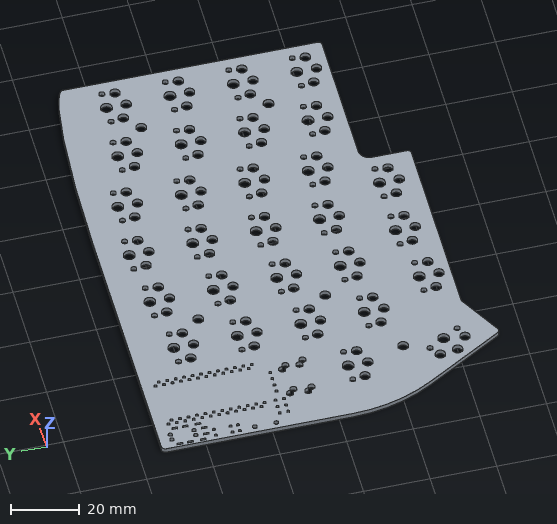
import cadquery as cq
import math


board_thickness = 1.6
board_width = 142.52
board_length = 106.33
corner_radius = 1.2
notch_radius = 3.2
outer_edge_bottom_y = -83.7
notch_x = 95.3
thumb_edge_bottom_y = -98.6
thumb_slope = math.radians(60)
tip_x = 20.75
side_arc_radius = 50.0
shoulder_width = 60.0
shoulder_drop = 6.0

tip_lean = thumb_slope - math.pi / 4
tip_rounding = corner_radius * (math.sqrt(2) * math.cos(tip_lean) - 1)
tip_y = -board_length - tip_rounding

switch_stem_hole = 3.4
switch_post_hole = 1.7
switch_pin_hole = 3.0
switch_posts = [(-5.5, 0.0), (5.5, 0.0)]
switch_pins = [(-5.0, -3.8), (5.0, -3.8), (0.0, -5.9)]

key_pitch = 19.05
keys_per_column = 4
first_column_x = 37.55
column_top_ys = [-12.95, -10.55, -9.15, -10.55, -15.3, -16.75]
inner_key = (18.45, -60.45)
thumb_keys = [(47.0, -89.0), (66.1, -86.7), (85.15, -86.7)]
tilted_thumb_key = (22.0, -90.0)
thumb_key_tilt = -60.0

screw_hole = 3.1
screw_points = [
    (46.65, -22.55),
    (122.9, -24.7),
    (46.65, -60.65),
    (122.9, -62.9),
    (22.05, -77.85),
]

pin_hole = 0.81
pin_pitch = 2.54
socket_pin_count = 12
socket_start = (9.2, -4.15)
socket_row_spacing = 15.24
socket_stagger = (1.27, -1.27)

header_start = (5.48, -36.65)
header_columns = 3
header_rows = 2

display_start = (13.95, -37.8)
display_pitch = 2.46
display_pin_count = 4

jumper_xs = (1.6, 3.95)
jumper_ys = (-16.5, -21.5, -23.7)

reset_hole = 1.3
reset_points = [(2.1, -28.3), (2.1, -34.75)]

jack_x = 4.07
jack_peg_hole = 1.2
jack_peg_offset = 0.96
jack_peg_ys = (-3.67, -10.84)
jack_slot_width = 0.6
jack_slot_length = 1.7
jack_outer_offset = 3.1
jack_outer_ys = (-5.55, -8.69, -12.5)
jack_end_offset = 1.2
jack_end_y = -13.95

pair_hole = 2.0
pair_spans = [
    ((12.2, -41.45), (13.5, -42.75)),
    ((21.75, -41.45), (23.05, -42.75)),
    ((11.8, -46.8), (13.1, -48.1)),
    ((22.3, -46.8), (23.9, -48.1)),
]


def side_arc_points():
    """Lower end, middle and upper end of the arc tangent to the left and sloped edges."""
    turn = math.pi / 2 - thumb_slope
    run_to_tip = tip_x - side_arc_radius * (1 - math.cos(turn))
    centre_y = tip_y + run_to_tip * math.tan(thumb_slope) + side_arc_radius * math.sin(turn)

    def at(angle):
        x = side_arc_radius * (1 - math.cos(angle))
        return (x, centre_y - side_arc_radius * math.sin(angle))

    return at(turn), at(turn / 2), at(0)


def make_board():
    arc_low, arc_middle, arc_high = side_arc_points()
    thumb_corner_x = tip_x + (thumb_edge_bottom_y - tip_y) * math.tan(thumb_slope)
    board = (
        cq.Workplane("XY")
        .moveTo(0, 0)
        .lineTo(board_width - shoulder_width, 0)
        .ellipseArc(shoulder_width, shoulder_drop, 0, 90, sense=-1)
        .lineTo(board_width, outer_edge_bottom_y)
        .lineTo(notch_x, outer_edge_bottom_y)
        .lineTo(notch_x, thumb_edge_bottom_y)
        .lineTo(thumb_corner_x, thumb_edge_bottom_y)
        .lineTo(tip_x, tip_y)
        .lineTo(*arc_low)
        .threePointArc(arc_middle, arc_high)
        .close()
        .extrude(board_thickness)
    )
    rounded_corners = [
        (0, 0, corner_radius),
        (board_width, outer_edge_bottom_y, corner_radius),
        (notch_x, outer_edge_bottom_y, notch_radius),
        (notch_x, thumb_edge_bottom_y, corner_radius),
        (tip_x, tip_y, corner_radius),
    ]
    for x, y, radius in rounded_corners:
        corner = cq.selectors.NearestToPointSelector((x, y, board_thickness / 2))
        board = board.edges(corner).fillet(radius)
    return board


def drills(points, diameter):
    return cq.Workplane("XY").pushPoints(points).circle(diameter / 2).extrude(board_thickness)


def grid(start, columns, rows, pitch):
    return [
        (start[0] + column * pitch, start[1] - row * pitch)
        for column in range(columns)
        for row in range(rows)
    ]


def key_placements():
    """Centre and tilt in degrees of every key switch."""
    centres = [inner_key] + thumb_keys
    for column, top_y in enumerate(column_top_ys):
        centres += grid((first_column_x + column * key_pitch, top_y), 1, keys_per_column, key_pitch)
    return [(centre, 0.0) for centre in centres] + [(tilted_thumb_key, thumb_key_tilt)]


def on_keys(offsets):
    """Footprint offsets moved to every key."""
    points = []
    for (x, y), tilt in key_placements():
        cos_tilt = math.cos(math.radians(tilt))
        sin_tilt = math.sin(math.radians(tilt))
        for dx, dy in offsets:
            points.append((x + dx * cos_tilt - dy * sin_tilt, y + dx * sin_tilt + dy * cos_tilt))
    return points


def socket_points():
    points = []
    for row_x in (socket_start[0], socket_start[0] + socket_row_spacing):
        points += grid((row_x, socket_start[1]), 1, socket_pin_count, pin_pitch)
    dx, dy = socket_stagger
    return points + [(x + dx, y + dy) for x, y in points]


def pin_points():
    points = socket_points()
    points += grid(header_start, header_columns, header_rows, pin_pitch)
    points += grid(display_start, display_pin_count, 1, display_pitch)
    points += [(x, y) for x in jumper_xs for y in jumper_ys]
    return points


def mirrored(offset, ys):
    """Points on both sides of the jack's centre line."""
    return [(jack_x + side * offset, y) for side in (-1, 1) for y in ys]


def jack_slots():
    points = mirrored(jack_outer_offset, jack_outer_ys) + mirrored(jack_end_offset, [jack_end_y])
    return (
        cq.Workplane("XY")
        .pushPoints(points)
        .slot2D(jack_slot_length, jack_slot_width, 90)
        .extrude(board_thickness)
    )


def hole_pairs():
    firsts = [first for first, second in pair_spans]
    seconds = [second for first, second in pair_spans]
    return drills(firsts, pair_hole).union(drills(seconds, pair_hole))


result = (
    make_board()
    .cut(drills(on_keys([(0.0, 0.0)]), switch_stem_hole))
    .cut(drills(on_keys(switch_posts), switch_post_hole))
    .cut(drills(on_keys(switch_pins), switch_pin_hole))
    .cut(drills(screw_points, screw_hole))
    .cut(drills(pin_points(), pin_hole))
    .cut(drills(reset_points, reset_hole))
    .cut(drills(mirrored(jack_peg_offset, jack_peg_ys), jack_peg_hole))
    .cut(jack_slots())
    .cut(hole_pairs())
)